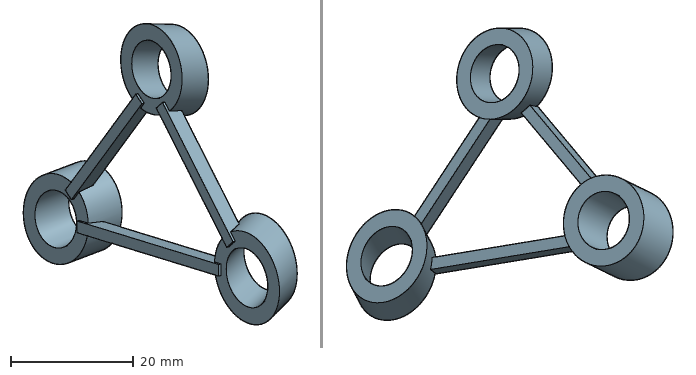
import cadquery as cq
import math

RING_OUTER_D = 14.95
RING_BORE_D = 9.55
TOP_RING_DEPTH = 5.85
LOWER_RING_DEPTH = 5.75
TOP_RING_LEAN = 12.0
LOWER_RING_LEAN = 23.2
LOWER_LEAN_HEADING = 37.0

TOP_CENTER_Z = 38.25
LOWER_CENTER_X = 23.25
LOWER_CENTER_Z = 7.7

BAR_WIDTH = 2.0
BAR_DEPTH = 3.0
BAR_PROUD = 0.5
LOWER_BAR_LEFT_X = -17.5
LOWER_BAR_RIGHT_X = 16.9
SIDE_BAR_TOP = (2.5, 32.8)
SIDE_BAR_BOTTOM = (19.6, 12.7)


def leaning_cylinder(diameter, center, lean, heading, depth):
    """Cylinder on an axis through center at Y = 0, trimmed at Y = 0 and Y = depth."""
    center_x, center_z = center
    lean_angle = math.radians(lean)
    heading_angle = math.radians(heading)
    axis = cq.Vector(
        math.sin(lean_angle) * math.cos(heading_angle),
        math.cos(lean_angle),
        math.sin(lean_angle) * math.sin(heading_angle),
    )
    overrun = diameter
    start = cq.Vector(center_x, 0, center_z) - axis * overrun
    length = depth / axis.y + 2 * overrun
    cylinder = cq.Solid.makeCylinder(diameter / 2, length, start, axis)
    slab_size = 2 * length
    slab = cq.Workplane("XY").box(slab_size, depth, slab_size, centered=(True, False, True))
    return slab.translate((center_x, 0, center_z)).intersect(cq.Workplane(cylinder))


def bar(start, end):
    """Strut between two (X, Z) end middles."""
    run_x = end[0] - start[0]
    run_z = end[1] - start[1]
    length = math.hypot(run_x, run_z)
    slope = math.degrees(math.atan2(run_z, run_x))
    strut = cq.Workplane("XY").box(length, BAR_DEPTH, BAR_WIDTH, centered=(True, False, True))
    strut = strut.rotate((0, 0, 0), (0, 1, 0), -slope)
    return strut.translate(((start[0] + end[0]) / 2, -BAR_PROUD, (start[1] + end[1]) / 2))


rings = [((0, TOP_CENTER_Z), TOP_RING_LEAN, -90, TOP_RING_DEPTH)]
for side, heading in ((-1, LOWER_LEAN_HEADING), (1, 180 - LOWER_LEAN_HEADING)):
    center = (side * LOWER_CENTER_X, LOWER_CENTER_Z)
    rings.append((center, LOWER_RING_LEAN, heading, LOWER_RING_DEPTH))

result = bar((LOWER_BAR_LEFT_X, LOWER_CENTER_Z), (LOWER_BAR_RIGHT_X, LOWER_CENTER_Z))
for side in (-1, 1):
    top_end = (side * SIDE_BAR_TOP[0], SIDE_BAR_TOP[1])
    bottom_end = (side * SIDE_BAR_BOTTOM[0], SIDE_BAR_BOTTOM[1])
    result = result.union(bar(bottom_end, top_end))

for placement in rings:
    result = result.union(leaning_cylinder(RING_OUTER_D, *placement))
for placement in rings:
    result = result.cut(leaning_cylinder(RING_BORE_D, *placement))